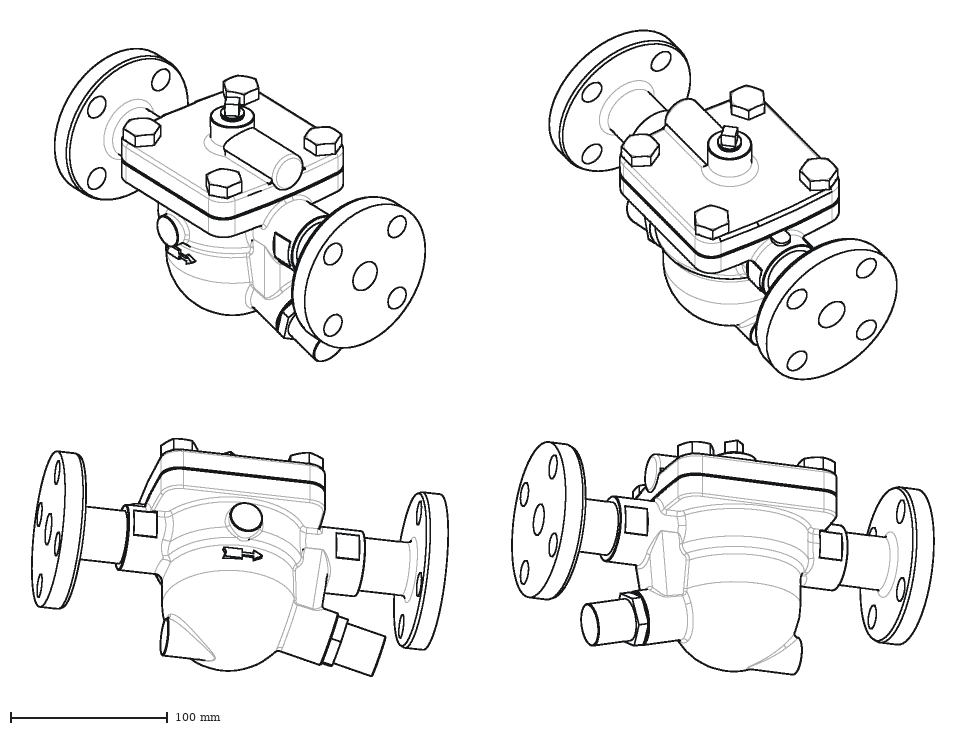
import cadquery as cq
import math

run_length = 250.0
flange_diameter = 100.0
flange_thickness = 14.0
flange_chamfer_depth = 2.2
flange_chamfer_height = 1.0
flange_bolt_circle = 75.0
flange_hole_diameter = 15.0
flange_hole_count = 4
flange_first_hole_angle = 45.0
pipe_diameter = 34.0
pipe_root_fillet = 4.0
bore_diameter = 20.0
hub_diameter = 42.0
hub_length_from_center = 77.2
hub_chamfer = 0.5
hub_root_fillet = 5.0

pad_across_flats = 39.5
pad_height = 18.0
pad_start = 58.5
pad_length = 15.0

tab_tip_x = -73.0
tab_width = 11.0
tab_length = 15.0
tab_top = 23.0

body_x = -7.5
upper_radius = 47.5
lower_radius = 42.5
upper_bottom = -11.8
shoulder_z = -17.8
lower_top = -22.0
dome_z = -41.0

cover_half_x = 55.5
cover_corner_x = 52.5
cover_half_y = 54.0
cover_corner_radius = 12.5
cover_bottom = 9.2
cover_top = 38.2
cover_top_fillet = 2.2
cover_bottom_fillet = 1.5
under_flange_fillet = 2.2
gasket_bottom = 23.0
gasket_height = 1.0
gasket_inset = 0.5

bolt_spacing = 41.0
bolt_across_flats = 21.0
bolt_head_height = 8.2
bolt_chamfer_height = 0.5

stem_boss_diameter = 28.0
stem_boss_top = 57.8
stem_boss_fillet = 4.2
stem_boss_chamfer = 0.5
stem_neck_diameter = 14.0
stem_collar_diameter = 15.0
stem_collar_bottom = 59.0
stem_collar_top = 60.5
stem_square_diagonal = 12.5
stem_top = 69.0

passage_radius = 12.5
passage_z = 41.5
passage_end_x = 49.0
passage_end_fillet = 2.0
passage_root_fillet = 2.5

rib_top_z = -4.2
rib_bottom_z = -51.2
rib_top_x = 56.0
rib_tilt = 7.0
rib_top_half_width = 20.5
rib_draft = 6.0
rib_corner_radius = 7.0
rib_root_fillet = 2.0

strainer_tilt = 15.0
strainer_boss_diameter = 35.0
strainer_hex_start = 68.2
strainer_hex_length = 6.8
strainer_hex_diagonal = 35.8
strainer_cap_diameter = 27.0
strainer_length = 101.5
strainer_root_fillet = 3.5
strainer_chamfer = 0.5
strainer_boss_chamfer = 0.8

side_plug_diameter = 21.0
side_plug_z = -7.5
side_plug_chamfer = 0.5
side_plug_fillet = 2.5
drain_diameter = 24.0
drain_z = -70.5
drain_end_x = -49.5
drain_chamfer = 0.5
drain_fillet = 2.5

arrow_z = -29.0
arrow_length = 25.0
arrow_half_height = 3.2
arrow_shaft_half_height = 1.0
arrow_tail_length = 12.0
arrow_head_length = 5.5
arrow_notch = 1.5
arrow_face_y = -44.0

seam_tolerance = 0.002


def on_surface(point, body):
    """True where a point lies on the skin of a body."""
    marker = cq.Vertex.makeVertex(*point.toTuple())
    return marker.distance(body.val().Shells()[0]) < seam_tolerance


def join(body, part, root_fillet, arcs_only=False):
    """Unite two bodies and round the seam where their skins meet."""
    joined = body.union(part)
    candidates = joined.edges("%CIRCLE") if arcs_only else joined.edges()
    seam = [
        edge for edge in candidates.vals()
        if on_surface(edge.positionAt(0.5), body) and on_surface(edge.positionAt(0.5), part)
    ]
    return joined.newObject(seam).fillet(root_fillet)


def cylinder_x(diameter, start, end, z=0.0):
    return cq.Workplane("YZ", origin=(start, 0, z)).circle(diameter / 2).extrude(end - start)


def cylinder_z(diameter, bottom, top):
    return cq.Workplane("XY", origin=(body_x, 0, bottom)).circle(diameter / 2).extrude(top - bottom)


def bowl():
    """Stepped body with a hemispherical bottom."""
    step = upper_radius - lower_radius
    shoulder_r = lower_radius + step * (lower_top - shoulder_z) / (lower_top - upper_bottom)
    diagonal = dome_z - lower_radius * math.sin(math.pi / 4)
    profile = (
        cq.Workplane("XZ", origin=(body_x, 0, 0))
        .moveTo(0, gasket_bottom)
        .lineTo(upper_radius, gasket_bottom)
        .lineTo(upper_radius, upper_bottom)
        .tangentArcPoint((shoulder_r, shoulder_z), relative=False)
        .tangentArcPoint((lower_radius, lower_top), relative=False)
        .lineTo(lower_radius, dome_z)
        .threePointArc((lower_radius * math.cos(math.pi / 4), diagonal), (0, dome_z - lower_radius))
        .close()
    )
    return profile.revolve(360, (0, 0, 0), (0, 1, 0))


def cover_outline(z):
    return (
        cq.Workplane("XY", origin=(body_x, 0, z))
        .moveTo(-cover_corner_x, -cover_half_y)
        .lineTo(cover_corner_x, -cover_half_y)
        .threePointArc((cover_half_x, 0), (cover_corner_x, cover_half_y))
        .lineTo(-cover_corner_x, cover_half_y)
        .threePointArc((-cover_half_x, 0), (-cover_corner_x, -cover_half_y))
        .close()
    )


def cover():
    """Body flange and cover as one plate with bulged sides."""
    return (
        cover_outline(cover_bottom)
        .extrude(cover_top - cover_bottom)
        .edges("|Z").fillet(cover_corner_radius)
        .faces(">Z").edges().fillet(cover_top_fillet)
        .faces("<Z").edges().fillet(cover_bottom_fillet)
        .cut(gasket_groove())
    )


def gasket_groove():
    """Shallow groove around the plate where the gasket sits back from the edge."""
    plate = cover_outline(gasket_bottom).extrude(gasket_height).edges("|Z").fillet(cover_corner_radius)
    outline = plate.faces("<Z").wires()
    gasket = outline.toPending().offset2D(-gasket_inset).extrude(gasket_height, combine=False)
    return plate.cut(gasket)


def outlet_rib():
    """Drafted slab with rounded outer edges, leaning in towards the strainer."""
    height = rib_top_z - rib_bottom_z
    bottom_x = rib_top_x - height * math.tan(math.radians(rib_tilt))
    bottom_half_width = rib_top_half_width - height * math.tan(math.radians(rib_draft))
    side = (
        cq.Workplane("XZ")
        .polyline([
            (body_x, rib_top_z),
            (rib_top_x, rib_top_z),
            (bottom_x, rib_bottom_z),
            (body_x, rib_bottom_z),
        ])
        .close()
        .extrude(rib_top_half_width, both=True)
    )
    drafted = (
        cq.Workplane("YZ", origin=(body_x, 0, 0))
        .polyline([
            (-rib_top_half_width, rib_top_z),
            (rib_top_half_width, rib_top_z),
            (bottom_half_width, rib_bottom_z),
            (-bottom_half_width, rib_bottom_z),
        ])
        .close()
        .extrude(rib_top_x - body_x)
    )
    return side.intersect(drafted).faces(">X").edges("not |Y").fillet(rib_corner_radius)


def strainer_plane(distance):
    """Plane across the strainer axis, measured out from the dome centre."""
    tilt = math.radians(strainer_tilt)
    direction = (math.cos(tilt), 0, -math.sin(tilt))
    origin = (body_x + distance * direction[0], 0, dome_z + distance * direction[2])
    return cq.Workplane(cq.Plane(origin=origin, xDir=(0, 1, 0), normal=direction))


def strainer_cap():
    """Hexagon collar, corners up and down, with a round cap beyond it."""
    hexagon = (
        strainer_plane(strainer_hex_start)
        .transformed(rotate=(0, 0, 90))
        .polygon(6, strainer_hex_diagonal)
        .extrude(strainer_hex_length)
    )
    cap_start = strainer_hex_start + strainer_hex_length
    cap = (
        strainer_plane(cap_start)
        .circle(strainer_cap_diameter / 2)
        .extrude(strainer_length - cap_start)
        .faces(">X").chamfer(strainer_chamfer)
    )
    return hexagon.union(cap)


def hub(side):
    """Hub barrel; side is -1 for the inlet and +1 for the outlet."""
    barrel = cylinder_x(hub_diameter, body_x, side * hub_length_from_center)
    return barrel.faces(">X" if side > 0 else "<X").chamfer(hub_chamfer)


def wrench_pad(x_side, y_side):
    """Block reaching from the hub axis out to one wrench flat."""
    depth = pad_across_flats / 2
    center = (x_side * (pad_start + pad_length / 2), y_side * depth / 2, 0)
    return cq.Workplane("XY").box(pad_length, depth, pad_height).translate(center)


def pipe_flange():
    """Outlet pipe and flange with bolt holes and a bore that stops at the hub."""
    back = run_length / 2 - flange_thickness
    disc = (
        cylinder_x(flange_diameter, back, run_length / 2)
        .faces("<X").chamfer(flange_chamfer_depth, flange_chamfer_height)
    )
    pipe = cylinder_x(pipe_diameter, hub_length_from_center, back)
    joined = join(disc, pipe, pipe_root_fillet)
    holes = (
        cq.Workplane("YZ", origin=(back, 0, 0))
        .polarArray(flange_bolt_circle / 2, flange_first_hole_angle, 360, flange_hole_count)
        .circle(flange_hole_diameter / 2)
        .extrude(flange_thickness)
    )
    bore = cylinder_x(bore_diameter, hub_length_from_center, run_length / 2)
    return joined.cut(holes).cut(bore)


def bolt_head(x_side, y_side):
    """Hexagon head with its top corners turned down to the across-flats circle."""
    diagonal = bolt_across_flats / math.cos(math.pi / 6)
    turn = 0 if x_side * y_side > 0 else 30
    head = (
        cq.Workplane("XY")
        .transformed(rotate=(0, 0, turn))
        .polygon(6, diagonal)
        .extrude(bolt_head_height)
    )
    turned = (
        cq.Workplane("XY")
        .circle(diagonal / 2)
        .extrude(bolt_head_height)
        .faces(">Z").chamfer(bolt_chamfer_height, (diagonal - bolt_across_flats) / 2)
    )
    place = (body_x + x_side * bolt_spacing, y_side * bolt_spacing, cover_top)
    return head.intersect(turned).translate(place)


def stem_boss():
    return cylinder_z(stem_boss_diameter, cover_bottom, stem_boss_top).faces(">Z").chamfer(stem_boss_chamfer)


def stem():
    """Neck, collar and square drive above the stem boss."""
    neck = cylinder_z(stem_neck_diameter, stem_boss_top, stem_collar_bottom)
    collar = cylinder_z(stem_collar_diameter, stem_collar_bottom, stem_collar_top)
    square = (
        cq.Workplane("XY", origin=(body_x, 0, stem_collar_top))
        .polygon(4, stem_square_diagonal)
        .extrude(stem_top - stem_collar_top)
    )
    return neck.union(collar).union(square)


def flow_arrow():
    tail = -arrow_length / 2
    tip = arrow_length / 2
    upper = [
        (tail, arrow_half_height),
        (tail + arrow_tail_length, arrow_half_height),
        (tail + arrow_tail_length, arrow_shaft_half_height),
        (tip - arrow_head_length, arrow_shaft_half_height),
        (tip - arrow_head_length, arrow_half_height),
    ]
    lower = [(x, -z) for x, z in reversed(upper)]
    outline = upper + [(tip, 0)] + lower + [(tail + arrow_notch, 0)]
    return (
        cq.Workplane("XZ", origin=(body_x, 0, arrow_z))
        .polyline(outline).close()
        .extrude(-arrow_face_y)
    )


def passage():
    """Round passage with hollow-rounded flanks running down to the cover."""
    tube = (
        cylinder_x(2 * passage_radius, body_x, passage_end_x, passage_z)
        .faces(">X").fillet(passage_end_fillet)
    )
    half_width = passage_radius + passage_root_fillet
    length = passage_end_x - passage_end_fillet - body_x
    base = (
        cq.Workplane("XY", origin=(body_x, 0, cover_top - cover_top_fillet))
        .box(length, 2 * half_width, cover_top_fillet + passage_root_fillet, centered=(False, True, False))
    )
    for side in (-1, 1):
        hollow = (
            cq.Workplane("YZ", origin=(body_x, side * half_width, cover_top + passage_root_fillet))
            .circle(passage_root_fillet)
            .extrude(length)
        )
        base = base.cut(hollow)
    return tube.union(base)


def strainer_boss():
    return (
        strainer_plane(0)
        .circle(strainer_boss_diameter / 2)
        .extrude(strainer_hex_start)
        .faces(">X").chamfer(strainer_boss_chamfer)
    )


def side_plug():
    return (
        cq.Workplane("XZ", origin=(body_x, 0, side_plug_z))
        .circle(side_plug_diameter / 2)
        .extrude(cover_half_y)
        .faces("<Y").chamfer(side_plug_chamfer)
    )


def drain_plug():
    return cylinder_x(drain_diameter, drain_end_x, body_x, drain_z).faces("<X").chamfer(drain_chamfer)


def locating_tab():
    """Round-nosed tab on top of the inlet hub, running in under the cover."""
    nose_x = tab_tip_x + tab_width / 2
    nose = cq.Workplane("XY", origin=(nose_x, 0, 0)).circle(tab_width / 2).extrude(tab_top)
    bar = cq.Workplane("XY", origin=(nose_x, 0, 0)).box(
        tab_length, tab_width, tab_top, centered=(False, True, False))
    return nose.union(bar)


casting = join(bowl(), strainer_boss(), strainer_root_fillet)
casting = join(casting, drain_plug(), drain_fillet)
casting = join(casting, side_plug(), side_plug_fillet)
for side in (-1, 1):
    casting = join(casting, hub(side), hub_root_fillet)
casting = join(casting, outlet_rib(), rib_root_fillet)
casting = join(casting, cover(), under_flange_fillet, arcs_only=True)
casting = join(casting, stem_boss(), stem_boss_fillet)
casting = casting.union(passage()).union(locating_tab())

for x_side in (-1, 1):
    for y_side in (-1, 1):
        pad = wrench_pad(x_side, y_side)
        beyond_flat = pad.translate((0, y_side * pad_across_flats / 2, 0))
        casting = casting.union(pad).cut(beyond_flat)

result = casting.union(strainer_cap()).union(stem()).union(flow_arrow())
outlet_flange = pipe_flange()
result = result.union(outlet_flange).union(outlet_flange.mirror("YZ"))
for x_side in (-1, 1):
    for y_side in (-1, 1):
        result = result.union(bolt_head(x_side, y_side))